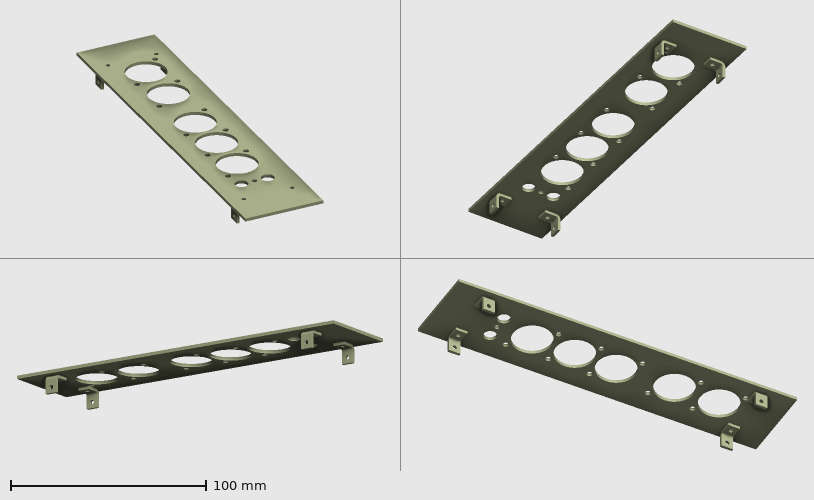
import cadquery as cq

PANEL_LENGTH = 196.8
PANEL_WIDTH = 44.5
PANEL_THICKNESS = 1.8
TOTAL_HEIGHT = 11.5

INSTRUMENT_DIAMETER = 22.0
INSTRUMENT_SCREW_DIAMETER = 3.1
INSTRUMENT_SCREW_OFFSET = 10.0
LEFT_ROW_Y = 0.8
RIGHT_ROW_Y = -0.2
FOURTH_OPENING_Y = 0.2
INSTRUMENT_CENTERS = [
    (-64.5, LEFT_ROW_Y),
    (-38.5, LEFT_ROW_Y),
    (-5.1, RIGHT_ROW_Y),
    (19.0, FOURTH_OPENING_Y),
    (43.7, RIGHT_ROW_Y),
]

COLUMN_X = 64.2
COLUMN_Y = -0.2
COLUMN_SPACING = 7.5
COLUMN_LARGE_DIAMETER = 7.0
COLUMN_SMALL_DIAMETER = 2.8

BRACKET_X = 79.3
BRACKET_WIDTH = 6.7
BRACKET_THICKNESS = 1.5
BRACKET_OUTER_Y = 19.3
FLANGE_LENGTH = 9.0
BEND_INNER_RADIUS = 1.0
BEND_OUTER_RADIUS = BEND_INNER_RADIUS + BRACKET_THICKNESS
BRACKET_HEIGHT = TOTAL_HEIGHT - PANEL_THICKNESS
BRACKET_HOLE_DIAMETER = 2.4
FLANGE_HOLE_Y = 13.8
LEG_HOLE_Z = 3.1


def cut_panel_holes(panel, diameter, centers):
    """Cut a set of vertical through holes in the panel."""
    drills = (
        cq.Workplane("XY")
        .pushPoints(centers)
        .circle(diameter / 2)
        .extrude(TOTAL_HEIGHT)
    )
    return panel.cut(drills)


def make_panel():
    """Flat panel resting on the bracket flanges."""
    panel = (
        cq.Workplane("XY", origin=(0, 0, BRACKET_HEIGHT))
        .rect(PANEL_LENGTH, PANEL_WIDTH)
        .extrude(PANEL_THICKNESS)
    )
    panel = cut_panel_holes(panel, INSTRUMENT_DIAMETER, INSTRUMENT_CENTERS)
    screw_centers = [
        (x - side * INSTRUMENT_SCREW_OFFSET, y + side * INSTRUMENT_SCREW_OFFSET)
        for x, y in INSTRUMENT_CENTERS
        for side in (-1, 1)
    ]
    panel = cut_panel_holes(panel, INSTRUMENT_SCREW_DIAMETER, screw_centers)

    large_centers = [(COLUMN_X, COLUMN_Y + side * COLUMN_SPACING) for side in (-1, 1)]
    panel = cut_panel_holes(panel, COLUMN_LARGE_DIAMETER, large_centers)
    panel = cut_panel_holes(panel, COLUMN_SMALL_DIAMETER, [(COLUMN_X, COLUMN_Y)])

    mount_centers = [
        (x_side * BRACKET_X, y_side * FLANGE_HOLE_Y)
        for x_side in (-1, 1)
        for y_side in (-1, 1)
    ]
    return cut_panel_holes(panel, BRACKET_HOLE_DIAMETER, mount_centers)


def make_bracket(x_side, y_side):
    """Bent strip: flange under the panel, leg hanging at its outer end."""
    flange_end_y = BRACKET_OUTER_Y - FLANGE_LENGTH
    leg_inner_y = BRACKET_OUTER_Y - BRACKET_THICKNESS
    flange_bottom_z = BRACKET_HEIGHT - BRACKET_THICKNESS
    profile = (
        cq.Workplane("YZ")
        .moveTo(BRACKET_OUTER_Y, 0)
        .lineTo(BRACKET_OUTER_Y, BRACKET_HEIGHT - BEND_OUTER_RADIUS)
        .radiusArc((BRACKET_OUTER_Y - BEND_OUTER_RADIUS, BRACKET_HEIGHT), -BEND_OUTER_RADIUS)
        .lineTo(flange_end_y, BRACKET_HEIGHT)
        .lineTo(flange_end_y, flange_bottom_z)
        .lineTo(leg_inner_y - BEND_INNER_RADIUS, flange_bottom_z)
        .radiusArc((leg_inner_y, flange_bottom_z - BEND_INNER_RADIUS), BEND_INNER_RADIUS)
        .lineTo(leg_inner_y, 0)
        .close()
    )
    bracket = profile.extrude(BRACKET_WIDTH / 2, both=True)

    flange_drill = (
        cq.Workplane("XY")
        .center(0, FLANGE_HOLE_Y)
        .circle(BRACKET_HOLE_DIAMETER / 2)
        .extrude(BRACKET_HEIGHT)
    )
    leg_drill = (
        cq.Workplane("XZ")
        .center(0, LEG_HOLE_Z)
        .circle(BRACKET_HOLE_DIAMETER / 2)
        .extrude(-BRACKET_OUTER_Y)
    )
    bracket = bracket.cut(flange_drill).cut(leg_drill)
    if y_side < 0:
        bracket = bracket.mirror("XZ")
    return bracket.translate((x_side * BRACKET_X, 0, 0))


panel = make_panel()
brackets = [
    make_bracket(x_side, y_side)
    for x_side in (-1, 1)
    for y_side in (-1, 1)
]

result = cq.Compound.makeCompound([panel.val(), *[bracket.val() for bracket in brackets]])